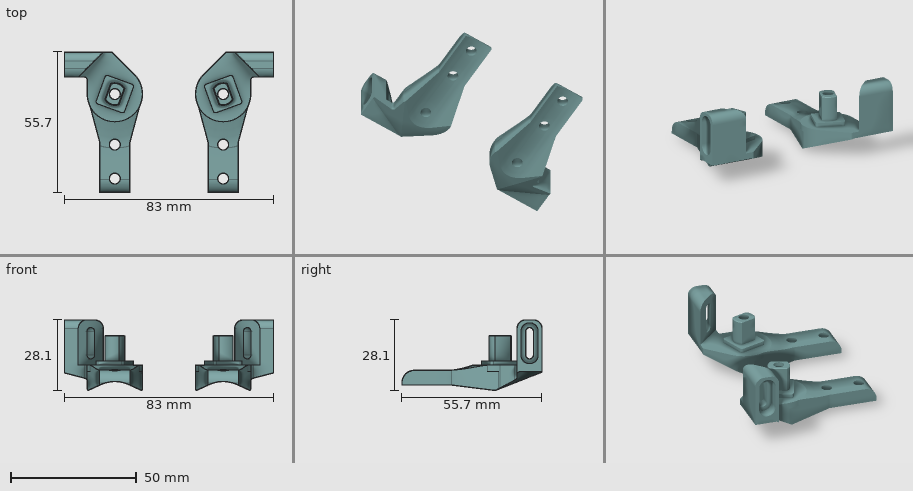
import cadquery as cq
import math


pivot_offset = 21.5
bore_diameter = 4.23

head_radius = 11.0
plate_thickness = 2.5
arm_reach = 20.0
arm_back = 16.68
arm_width = 10.0
arm_front = arm_back - arm_width
arm_middle = arm_back - arm_width / 2
arm_height = 18.0
arm_corner_radius = 3.5
arm_face_distance = 15.0
corner_radius = 1.0

slot_width = 3.0
slot_recess_width = 6.84
slot_recess_depth = 5.0
slot_bottom_center = 4.0
slot_top_center = 13.4

foot_half_width = 6.0
foot_end = -39.0
foot_top = -2.0
foot_end_radius = 5.0
taper_start = -0.65
taper_end = -19.2
neck_outer_radius = 21.4
neck_sweep = 140.0
foot_hole_ys = (-20.05, -33.55)

blank_bottom = -12.0
arch_radius = 13.5
arch_flank_angle = 24.8
arch_crown = -6.55
ridge_y = -2.0
ridge_z = -10.1
rear_slope_top = -2.75
arm_slope_bottom = -3.1

key_angle = -20.0
flange_side = 12.0
flange_thickness = 1.7
flange_corner_radius = 1.0
peg_diameter = 9.0
peg_across_flats = 6.0
peg_top = 11.8
peg_chamfer = 0.3

diagonal = math.sqrt(0.5)
back_corner_x = head_radius / diagonal - arm_back
cutter_size = 100.0


def taper_shoulders():
    """The two points where the straight taper line crosses the round head."""
    start = cq.Vector(math.sqrt(head_radius**2 - taper_start**2), taper_start)
    along = (cq.Vector(foot_half_width, taper_end) - start).normalized()
    crossing = start - along * (2 * start.dot(along))
    return (start.x, start.y), (crossing.x, crossing.y)


def plan_prism(shoulder, bottom, top):
    """Plan of arm, head, neck and foot, round down to the shoulder, between two levels."""
    tangent = head_radius * diagonal
    mid_angle = math.radians(22.5)
    middle_y = shoulder[1] / 2
    shoulder_middle = (math.sqrt(head_radius**2 - middle_y**2), middle_y)
    prism = (
        cq.Workplane("XY", origin=(0, 0, bottom))
        .moveTo(-arm_reach, arm_back)
        .lineTo(back_corner_x, arm_back)
        .lineTo(tangent, tangent)
        .threePointArc(
            (head_radius * math.cos(mid_angle), head_radius * math.sin(mid_angle)),
            (head_radius, 0),
        )
        .threePointArc(shoulder_middle, shoulder)
        .lineTo(foot_half_width, taper_end)
        .lineTo(foot_half_width, foot_end)
        .lineTo(-foot_half_width, foot_end)
        .lineTo(-foot_half_width, taper_end)
        .lineTo(-shoulder[0], shoulder[1])
        .threePointArc((-shoulder_middle[0], shoulder_middle[1]), (-head_radius, 0))
        .lineTo(-head_radius, arm_front)
        .lineTo(-arm_reach, arm_front)
        .close()
        .extrude(top - bottom)
    )
    corners = cq.selectors.SumSelector(
        vertical_edge_at(back_corner_x, arm_back), vertical_edge_at(-head_radius, arm_front)
    )
    return prism.edges(corners).fillet(corner_radius)


def vertical_edge_at(x, y):
    """Selector for the upright edge whose middle lies above a plan point."""
    near = 0.1
    return cq.selectors.BoxSelector(
        (x - near, y - near, -cutter_size), (x + near, y + near, cutter_size)
    )


def cutter_below(first, second, third):
    """Large block that lies below the plane through three points."""
    a, b, c = cq.Vector(*first), cq.Vector(*second), cq.Vector(*third)
    normal = (b - a).cross(c - a)
    if normal.z > 0:
        normal = normal * -1
    plane = cq.Plane(origin=first, normal=normal.toTuple())
    return cq.Workplane(plane).rect(2 * cutter_size, 2 * cutter_size).extrude(cutter_size)


def neck_cutter():
    """Revolved space above the concave neck and the flat foot."""
    run = neck_outer_radius - head_radius
    drop = -foot_top
    curve_radius = (run**2 + drop**2) / (2 * drop)
    half_angle = math.atan2(run, curve_radius - drop) / 2
    curve_middle = (
        neck_outer_radius - curve_radius * math.sin(half_angle),
        foot_top + curve_radius * (1 - math.cos(half_angle)),
    )
    return (
        cq.Workplane("XZ")
        .moveTo(head_radius, 0)
        .threePointArc(curve_middle, (neck_outer_radius, foot_top))
        .lineTo(cutter_size, foot_top)
        .lineTo(cutter_size, drop)
        .lineTo(head_radius, drop)
        .close()
        .revolve(neck_sweep, (0, 0), (0, 1))
        .rotate((0, 0, 0), (0, 0, 1), -90.0 - neck_sweep / 2)
    )


def arch_cutter():
    """Space under the arch: a round crown with straight tangent flanks, along Y."""
    angle = math.radians(arch_flank_angle)
    tangent_x = arch_radius * math.sin(angle)
    tangent_z = arch_crown - arch_radius * (1 - math.cos(angle))
    edge_x = 2 * head_radius
    edge_z = tangent_z - (edge_x - tangent_x) * math.tan(angle)
    return (
        cq.Workplane("XZ", origin=(0, arm_back, 0))
        .moveTo(-edge_x, edge_z)
        .lineTo(-tangent_x, tangent_z)
        .threePointArc((0, arch_crown), (tangent_x, tangent_z))
        .lineTo(edge_x, edge_z)
        .lineTo(edge_x, -cutter_size)
        .lineTo(-edge_x, -cutter_size)
        .close()
        .extrude(arm_back - foot_end)
    )


def lower_body():
    """Everything under the plate, down to the blank bottom, with the sloped rear."""
    lower_shoulder, _ = taper_shoulders()
    body = plan_prism(lower_shoulder, blank_bottom, -plate_thickness)
    back_corner = (back_corner_x, arm_back, rear_slope_top)
    ridge_left = (-head_radius, ridge_y, ridge_z)
    ridge_right = (head_radius, ridge_y, ridge_z)
    arm_corner = (-arm_reach, arm_front, arm_slope_bottom)
    rear_slope = cutter_below(back_corner, ridge_left, ridge_right)
    side_slope = cutter_below(back_corner, ridge_left, arm_corner)
    return body.cut(rear_slope).cut(side_slope)


def upper_plate():
    """Flat plate of arm and head; the head stays round until it crosses the taper."""
    _, upper_shoulder = taper_shoulders()
    return plan_prism(upper_shoulder, -plate_thickness, 0).cut(neck_cutter())


def main_body():
    """Lower body and plate together, with the rounded foot end and the arched underside."""
    body = lower_body().union(upper_plate())
    body = body.faces("<Y").edges(">Z").fillet(foot_end_radius)
    return body.cut(arch_cutter())


def slot_cutter(width, start_x, length):
    """Upright round-ended slot that runs along X."""
    span = slot_top_center - slot_bottom_center
    return (
        cq.Workplane("YZ", origin=(start_x, arm_middle, (slot_top_center + slot_bottom_center) / 2))
        .slot2D(span + width, width, 90)
        .extrude(length)
    )


def upright_arm():
    """Slotted upright on the arm with a 45 degree inner face."""
    face_back_x = arm_back - arm_face_distance / diagonal
    face_front_x = arm_front - arm_face_distance / diagonal
    block = (
        cq.Workplane("XY")
        .polyline(
            [
                (-arm_reach, arm_front),
                (face_front_x, arm_front),
                (face_back_x, arm_back),
                (-arm_reach, arm_back),
            ]
        )
        .close()
        .extrude(arm_height)
    )
    block = block.faces(">Z").edges("|X").fillet(arm_corner_radius)
    recess = slot_cutter(slot_recess_width, -arm_reach, slot_recess_depth)
    return block.cut(slot_cutter(slot_width, -arm_reach, arm_reach)).cut(recess)


def keyed_peg():
    """Square flange with a two-flat peg on it, both turned about the pivot."""
    flange = cq.Workplane("XY").rect(flange_side, flange_side).extrude(flange_thickness)
    flange = flange.edges("|Z").fillet(flange_corner_radius)
    flats = cq.Workplane("XY").rect(peg_across_flats, peg_diameter).extrude(peg_top)
    peg = cq.Workplane("XY").circle(peg_diameter / 2).extrude(peg_top).intersect(flats)
    peg = peg.faces(">Z").chamfer(peg_chamfer)
    return flange.union(peg).rotate((0, 0, 0), (0, 0, 1), key_angle)


def lever():
    """Complete left lever about its own pivot."""
    body = main_body().union(upright_arm()).union(keyed_peg())
    bores = (
        cq.Workplane("XY", origin=(0, 0, blank_bottom))
        .pushPoints([(0, 0)] + [(0, y) for y in foot_hole_ys])
        .circle(bore_diameter / 2)
        .extrude(peg_top - blank_bottom)
    )
    return body.cut(bores)


left_lever = lever().translate((-pivot_offset, 0, 0))
levers = [left_lever, left_lever.mirror("YZ")]

result = cq.Compound.makeCompound([piece.val() for piece in levers])